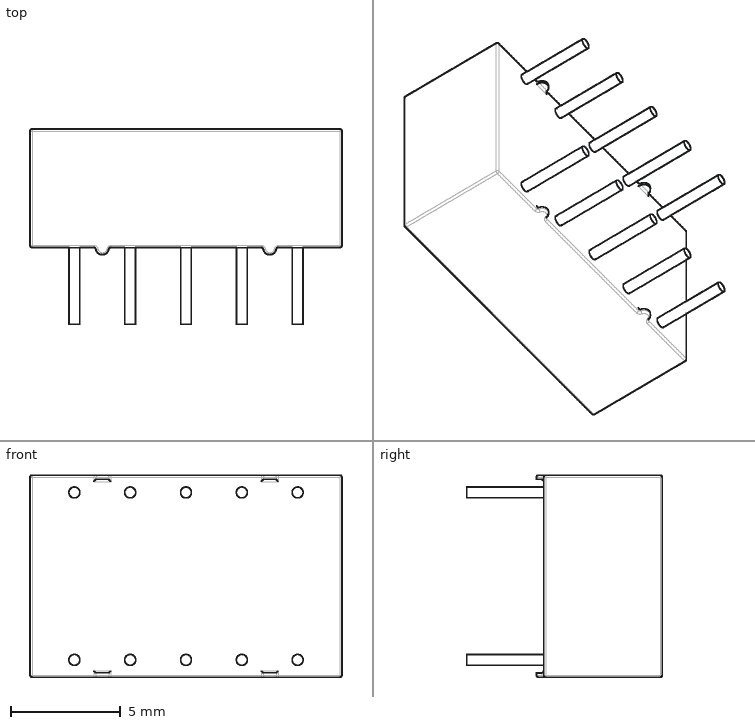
import cadquery as cq
import math

BODY_LENGTH = 14.2
BODY_DEPTH = 5.4
BODY_HEIGHT = 9.2
EDGE_RADIUS = 0.1

PIN_PITCH = 2.54
PINS_PER_ROW = 5
PIN_ROW_SPACING = 3 * PIN_PITCH
PIN_DIAMETER = 0.5
PIN_LENGTH = 3.5

FOOT_SPACING = 3 * PIN_PITCH
FOOT_NOSE_RADIUS = 0.3
FOOT_ROOT_RADIUS = 0.1
FOOT_PROJECTION = 0.33
FOOT_THICKNESS = 0.2

OVERLAP = 0.5


def centered_positions(count, pitch):
    """Evenly spaced positions centred on zero."""
    return [(i - (count - 1) / 2) * pitch for i in range(count)]


def make_body():
    block = cq.Workplane("XY").box(BODY_LENGTH, BODY_DEPTH, BODY_HEIGHT)
    return block.translate((0, BODY_DEPTH / 2, 0))


def make_foot_front():
    """Round nose blended into the pin face by two concave arcs, as seen along Z."""
    nose_y = FOOT_NOSE_RADIUS - FOOT_PROJECTION

    center_distance = FOOT_NOSE_RADIUS + FOOT_ROOT_RADIUS
    root_y = -FOOT_ROOT_RADIUS
    root_x = math.sqrt(center_distance**2 - (root_y - nose_y) ** 2)
    contact_x = root_x * FOOT_NOSE_RADIUS / center_distance
    contact_y = nose_y + (root_y - nose_y) * FOOT_NOSE_RADIUS / center_distance

    pin_face_angle = math.pi / 2
    contact_angle = math.atan2(contact_y - root_y, contact_x - root_x) % (2 * math.pi)
    middle_angle = (pin_face_angle + contact_angle) / 2
    middle_x = root_x + FOOT_ROOT_RADIUS * math.cos(middle_angle)
    middle_y = root_y + FOOT_ROOT_RADIUS * math.sin(middle_angle)

    return (
        cq.Workplane("XY")
        .moveTo(-root_x, OVERLAP)
        .lineTo(-root_x, 0)
        .threePointArc((-middle_x, middle_y), (-contact_x, contact_y))
        .threePointArc((0, -FOOT_PROJECTION), (contact_x, contact_y))
        .threePointArc((middle_x, middle_y), (root_x, 0))
        .lineTo(root_x, OVERLAP)
        .close()
        .extrude(FOOT_THICKNESS + FOOT_ROOT_RADIUS)
    )


def make_foot_side():
    """Flat tab whose inner face flares into the pin face by a concave arc, as seen along X."""
    root_height = FOOT_THICKNESS + FOOT_ROOT_RADIUS
    return (
        cq.Workplane("YZ")
        .moveTo(OVERLAP, 0)
        .lineTo(-FOOT_PROJECTION, 0)
        .lineTo(-FOOT_PROJECTION, FOOT_THICKNESS)
        .lineTo(-FOOT_ROOT_RADIUS, FOOT_THICKNESS)
        .radiusArc((0, root_height), -FOOT_ROOT_RADIUS)
        .lineTo(OVERLAP, root_height)
        .close()
        .extrude(FOOT_NOSE_RADIUS + FOOT_ROOT_RADIUS, both=True)
    )


def add_feet(body):
    bottom_foot = make_foot_front().intersect(make_foot_side()).translate((0, 0, -BODY_HEIGHT / 2))
    top_foot = bottom_foot.mirror("XY")
    for x in centered_positions(2, FOOT_SPACING):
        body = body.union(bottom_foot.translate((x, 0, 0)))
        body = body.union(top_foot.translate((x, 0, 0)))
    return body


def round_edges(body):
    """Round the outlines of the top and bottom faces, feet included, and the four upright corners."""
    upright_corners = body.faces("<X or >X").edges("|Z")
    return body.faces("<Z or >Z").edges().add(upright_corners).fillet(EDGE_RADIUS)


def make_pins():
    pin_positions = [
        (x, z)
        for x in centered_positions(PINS_PER_ROW, PIN_PITCH)
        for z in centered_positions(2, PIN_ROW_SPACING)
    ]
    return (
        cq.Workplane("XZ", origin=(0, OVERLAP, 0))
        .pushPoints(pin_positions)
        .circle(PIN_DIAMETER / 2)
        .extrude(OVERLAP + PIN_LENGTH)
    )


housing = round_edges(add_feet(make_body()))
result = housing.union(make_pins())